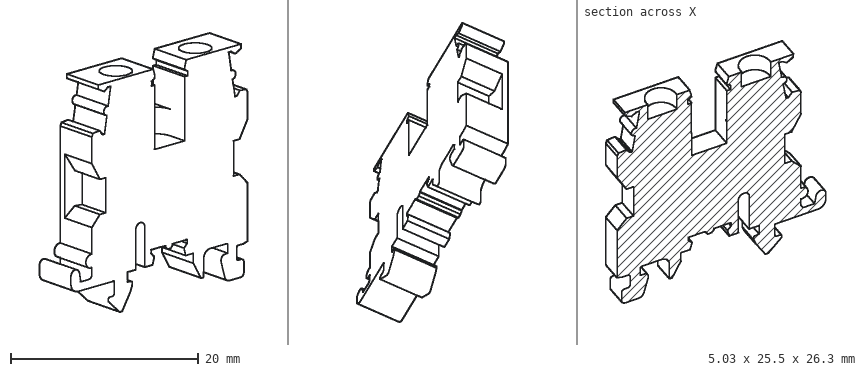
import cadquery as cq
import math


thickness = 5.03
height = 26.25
body_half = 11.22
length = 25.45
hook_end = body_half - length

slot_floor = 20.18
base_level = 4.24
flange_level = 3.68
barb_level = 2.02
catch_level = 3.13
recess_roof = 5.99

slot_half = 2.13
snap_mouth_half = 2.37
snap_groove_half = 2.58
recess_mid = -0.08
recess_lip_z = base_level + 0.89
recess_groove_z = base_level + 1.34
rib_half = 0.52
rib_tip_half = 0.23
rib_height = 0.46
rib_straight = 0.15

flex_slot_mid = -4.24
flex_slot_width = 1.29
flex_slot_top = 9.41

tower_bead_y = 8.98
tower_bead_z = 23.06
tower_bead_radius = 0.52
side_bead_y = -11.30
side_bead_z = 6.67
side_bead_radius = 0.78

screw_x = 2.76
screw_y = 5.72
screw_diameter = 3.54
screw_depth = 2.0

pocket_start_x = 0.63
pocket_depth = 3.0

funnel_bottom = 10.42
funnel_top = 17.61
throat_bottom = 11.63
throat_top = 15.58
funnel_depth = 1.16
throat_depth = 2.0
funnel_start_x = 0.73
throat_start_x = 1.27


def corner_arc(before, corner, after, radius):
    """Start, middle and end of the arc that rounds a corner between two straight edges."""
    cy, cz = corner
    angle_in = math.atan2(before[1] - cz, before[0] - cy)
    angle_out = math.atan2(after[1] - cz, after[0] - cy)
    half_turn = math.remainder(angle_out - angle_in, math.tau) / 2
    bisector = angle_in + half_turn
    half_angle = abs(half_turn)
    tangent = radius / math.tan(half_angle)
    to_middle = radius / math.sin(half_angle) - radius

    def offset(angle, distance):
        return (cy + distance * math.cos(angle), cz + distance * math.sin(angle))

    return offset(angle_in, tangent), offset(bisector, to_middle), offset(angle_out, tangent)


def extrude_outline(corners):
    """Extrude a closed outline of (y, z) or (y, z, corner radius) through the full thickness."""
    sketch = None
    for i, corner in enumerate(corners):
        point = corner[:2]
        arc = None
        if len(corner) == 3:
            after = corners[(i + 1) % len(corners)][:2]
            arc = corner_arc(corners[i - 1][:2], point, after, corner[2])
        start = arc[0] if arc else point
        sketch = sketch.lineTo(*start) if sketch else cq.Workplane("YZ").moveTo(*start)
        if arc:
            sketch = sketch.threePointArc(arc[1], arc[2])
    return sketch.close().extrude(thickness)


def mirrored(corners):
    """The same corners on the other side of Y = 0, in reverse order."""
    return [(-corner[0], *corner[1:]) for corner in reversed(corners)]


def tower_side():
    """+Y half of the top, from the middle slot out to the shoulder of the body."""
    return [
        (slot_half, slot_floor),
        (slot_half, 24.40),
        (snap_groove_half, 24.40),
        (snap_groove_half, 24.92),
        (slot_half, 25.22),
        (slot_half, 25.42),
        (snap_mouth_half, height),
        (10.28, height),
        (10.28, 25.75, 0.15),
        (9.44, 25.33),
        (8.90, 25.70),
        (8.51, 25.70),
        (9.40, 20.52),
        (9.63, 20.52),
        (10.10, 21.07),
        (11.06, 20.97),
        (body_half, 20.60),
    ]


def fixed_foot():
    """Outline of the rigid foot under the +Y end."""
    return [
        (body_half, 3.85),
        (10.55, flange_level),
        (9.66, flange_level, 0.2),
        (9.66, barb_level, 0.25),
        (10.69, barb_level, 0.38),
        (10.69, 0, 0.5),
        (8.07, 0, 0.7),
        (7.18, catch_level, 0.6),
        (8.38, catch_level),
        (8.38, base_level, 0.25),
    ]


def prong():
    """Outline of the pointed prong beside the fixed foot."""
    return [
        (4.88, base_level, 0.95),
        (4.88, 1.18, 0.15),
        (4.50, 1.18, 0.15),
        (3.41, 3.11),
        (3.41, base_level),
    ]


def underside_recess():
    """Recess with snap grooves and a small rib in the middle of its roof."""
    half_outline = [
        (snap_mouth_half, base_level),
        (slot_half, recess_lip_z),
        (snap_groove_half, recess_groove_z),
        (snap_groove_half, recess_roof),
        (rib_half, recess_roof),
        (rib_half, recess_roof - rib_straight),
        (rib_tip_half, recess_roof - rib_height),
    ]
    return [(recess_mid + y, z) for y, z in half_outline + mirrored(half_outline)]


def sprung_foot():
    """Outline of the arrow-shaped sprung foot."""
    return [
        (-6.08, base_level),
        (-6.08, catch_level),
        (-5.40, catch_level - 0.05, 0.15),
        (-5.40, 2.60),
        (-5.68, 1.90),
        (-6.85, 0, 0.1),
        (-7.20, 0, 0.1),
        (-9.34, barb_level, 0.3),
        (-8.01, barb_level, 0.25),
        (-8.01, flange_level),
    ]


def marking_hook():
    """Outline of the upturned hook at the -Y end."""
    return [
        (hook_end, flange_level, 1.0),
        (hook_end, 6.19, 0.6),
        (-13.09, 6.19, 0.62),
        (-12.82, 4.68),
        (-body_half, 4.68, 0.45),
    ]


def bead(y, z, radius):
    return cq.Workplane("YZ").center(y, z).circle(radius).extrude(thickness)


def flex_slot():
    """Round-ended slot that lets the sprung foot bend."""
    radius = flex_slot_width / 2
    left = flex_slot_mid - radius
    right = flex_slot_mid + radius
    arc_z = flex_slot_top - radius
    return (
        cq.Workplane("YZ")
        .moveTo(left, base_level)
        .lineTo(left, arc_z)
        .threePointArc((flex_slot_mid, flex_slot_top), (right, arc_z))
        .lineTo(right, base_level)
        .close()
        .extrude(thickness)
    )


def screw_holes():
    plane = cq.Workplane("XY", origin=(screw_x, 0, height))
    return plane.pushPoints([(0, screw_y), (0, -screw_y)]).circle(screw_diameter / 2).extrude(-screw_depth)


def centre_pocket():
    """U-shaped pocket as wide as the slot, with its round end toward -X."""
    arc_x = pocket_start_x + slot_half
    return (
        cq.Workplane("XY", origin=(0, 0, slot_floor))
        .moveTo(thickness, slot_half)
        .lineTo(arc_x, slot_half)
        .threePointArc((pocket_start_x, 0), (arc_x, -slot_half))
        .lineTo(thickness, -slot_half)
        .close()
        .extrude(-pocket_depth)
    )


def wire_funnel():
    """Funnel in the -Y end: sloped roof and floor, then a straight throat, and one slanted side."""
    side_view = (
        cq.Workplane("YZ")
        .polyline([
            (-body_half, funnel_bottom),
            (-body_half + funnel_depth, throat_bottom),
            (-body_half + throat_depth, throat_bottom),
            (-body_half + throat_depth, throat_top),
            (-body_half + funnel_depth, throat_top),
            (-body_half, funnel_top),
        ])
        .close()
        .extrude(thickness)
    )
    plan_view = (
        cq.Workplane("XY")
        .polyline([
            (funnel_start_x, -body_half),
            (throat_start_x, -body_half + throat_depth),
            (thickness, -body_half + throat_depth),
            (thickness, -body_half),
        ])
        .close()
        .extrude(height)
    )
    return side_view.intersect(plan_view)


outline = (
    tower_side()
    + fixed_foot()
    + prong()
    + underside_recess()
    + sprung_foot()
    + marking_hook()
    + mirrored(tower_side())
)

result = extrude_outline(outline)
for side in (1, -1):
    result = result.union(bead(side * tower_bead_y, tower_bead_z, tower_bead_radius))
result = result.union(bead(side_bead_y, side_bead_z, side_bead_radius))

funnel = wire_funnel()
result = result.cut(flex_slot()).cut(screw_holes()).cut(centre_pocket())
result = result.cut(funnel).cut(funnel.mirror("XZ"))